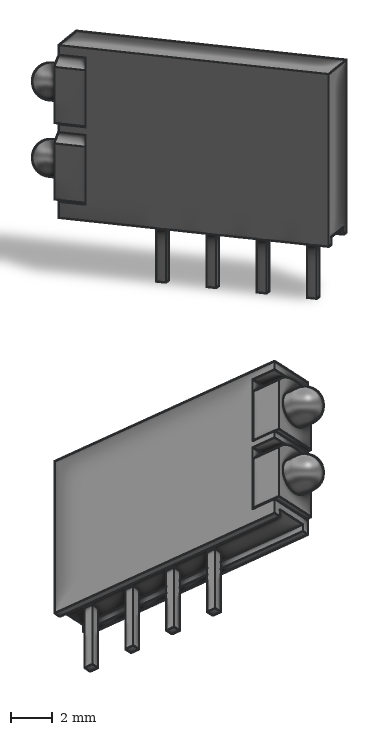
import cadquery as cq


overall_length = 15.44
overall_height = 11.61
housing_front = 1.75
housing_width = 2.49
housing_height = 8.62
housing_length = overall_length - housing_front

lamp_count = 2
recess_back = 3.1
recess_height = 3.47
recess_bottom = 0.8
recess_pitch = 3.86

groove_width = 1.7
groove_depth = 0.39

holder_front = 1.51
holder_length = recess_back - holder_front
holder_width = 2.4
holder_height = 3.32
holder_shoulder = 2.8
holder_bottom = 0.88
holder_pitch = 3.81

lens_radius = 0.91
lens_rise = 1.67

pin_count = 4
pin_pitch = 2.55
pin_first_x = 6.56
pin_length_x = 0.5
pin_width_y = 0.43
pin_height = overall_height - housing_height + groove_depth


def block(length, width, height, x, z):
    """Box centred on Y = 0, with its lowest front edge at x, z."""
    return (
        cq.Workplane("XY")
        .box(length, width, height, centered=(False, True, False))
        .translate((x, 0, z))
    )


def make_housing():
    housing = block(housing_length, housing_width, housing_height, housing_front, 0)
    for i in range(lamp_count):
        z = recess_bottom + i * recess_pitch
        recess_length = recess_back - housing_front
        housing = housing.cut(block(recess_length, housing_width, recess_height, housing_front, z))
    return housing.cut(block(housing_length, groove_width, groove_depth, housing_front, 0))


def make_holder(bottom):
    half_width = holder_width / 2
    return (
        cq.Workplane("YZ", origin=(holder_front, 0, bottom))
        .moveTo(-half_width, 0)
        .lineTo(half_width, 0)
        .lineTo(half_width, holder_shoulder)
        .threePointArc((0, holder_height), (-half_width, holder_shoulder))
        .close()
        .extrude(holder_length)
    )


def make_lens(centre_z):
    """Half outline of the lens, revolved about its axis along X."""
    arc_middle = lens_radius * 0.5 ** 0.5
    return (
        cq.Workplane("XZ", origin=(0, 0, centre_z))
        .moveTo(0, 0)
        .threePointArc((lens_radius - arc_middle, arc_middle), (lens_radius, lens_radius))
        .lineTo(holder_front, lens_radius)
        .lineTo(holder_front, 0)
        .close()
        .revolve(360, (0, 0, 0), (1, 0, 0))
    )


def make_pin(centre_x):
    """Pin hanging from the ceiling of the groove."""
    return block(
        pin_length_x, pin_width_y, pin_height, centre_x - pin_length_x / 2, groove_depth - pin_height
    )


housing = make_housing()

holders = []
lenses = []
for i in range(lamp_count):
    bottom = holder_bottom + i * holder_pitch
    holders.append(make_holder(bottom).val())
    lenses.append(make_lens(bottom + lens_rise).val())

pins = [make_pin(pin_first_x + i * pin_pitch).val() for i in range(pin_count)]

result = cq.Compound.makeCompound([housing.val(), *holders, *lenses, *pins])